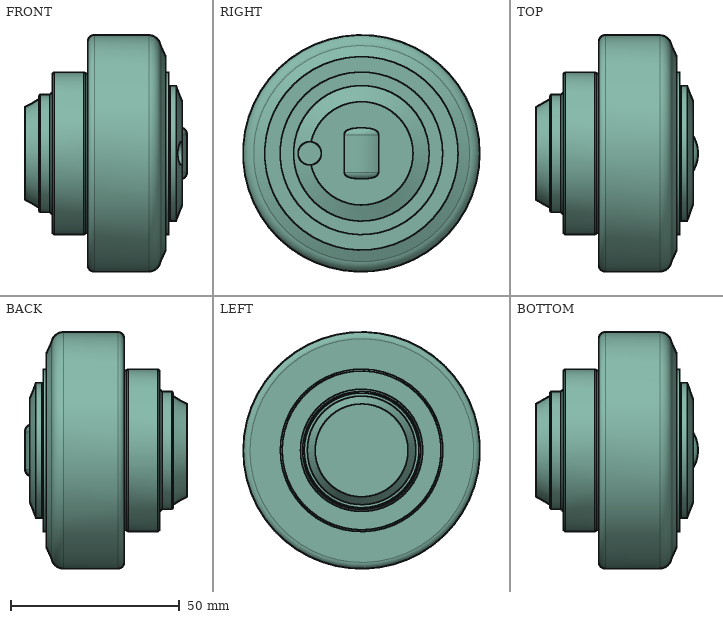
import cadquery as cq
import math

STUB_SHOULDER_X = 4.1
FLANGE_X = 8.05
ROLLER_X = 18.6
ROLLER_ROUND_END_X = 36.6
ROLLER_TAPER_X = 40.2
ROLLER_BACK_X = 41.7
INNER_RING_BACK_X = 42.6
CAP_TAPER_X = 44.7
CAP_FACE_X = 46.6
OVERALL_LENGTH = 48.0

STUB_TIP_RADIUS = 13.75
STUB_CONE_RADIUS = 16.05
STUB_RADIUS = 17.45
FLARE_RADIUS = 18.1
FLANGE_RADIUS = 24.05
ROLLER_RADIUS = 35.05
ROLLER_TAPER_RADIUS = 32.0
ROLLER_BACK_RADIUS = 28.6
CAP_RADIUS = 20.05
CAP_FACE_RADIUS = 15.3

STUB_CHAMFER = 0.5
FLANGE_CHAMFER = 0.55
RELIEF_WIDTH = 0.55
RELIEF_DEPTH = 0.35
CAP_CHAMFER = 0.35
FRONT_ROUND = 1.95
BACK_ROUND_BULGE = 0.85
STUB_FLARE = FLARE_RADIUS - STUB_RADIUS

AXIAL_ROLLER_RADIUS = 9.9
AXIAL_ROLLER_WIDTH = 15.35
AXIAL_ROLLER_ROUND = 2.1

HOLE_RADIUS = 3.4
HOLE_OFFSET = CAP_FACE_RADIUS
HOLE_DEPTH = 3.5


def make_body():
    """Stub, flange, roller and cap as one turned solid about X."""
    diagonal = math.sqrt(0.5)
    relief_radius = FLANGE_RADIUS - RELIEF_DEPTH
    front_mid = (
        ROLLER_X + FRONT_ROUND * (1 - diagonal),
        ROLLER_RADIUS - FRONT_ROUND * (1 - diagonal),
    )
    chord_x = ROLLER_TAPER_X - ROLLER_ROUND_END_X
    chord_drop = ROLLER_RADIUS - ROLLER_TAPER_RADIUS
    chord = math.hypot(chord_x, chord_drop)
    back_mid = (
        (ROLLER_ROUND_END_X + ROLLER_TAPER_X) / 2 + BACK_ROUND_BULGE * chord_drop / chord,
        (ROLLER_RADIUS + ROLLER_TAPER_RADIUS) / 2 + BACK_ROUND_BULGE * chord_x / chord,
    )
    profile = (
        cq.Workplane("XY")
        .lineTo(0, STUB_TIP_RADIUS)
        .lineTo(STUB_SHOULDER_X, STUB_CONE_RADIUS)
        .lineTo(STUB_SHOULDER_X, STUB_RADIUS - STUB_CHAMFER)
        .lineTo(STUB_SHOULDER_X + STUB_CHAMFER, STUB_RADIUS)
        .lineTo(FLANGE_X - STUB_FLARE, STUB_RADIUS)
        .lineTo(FLANGE_X, FLARE_RADIUS)
        .lineTo(FLANGE_X, FLANGE_RADIUS - FLANGE_CHAMFER)
        .lineTo(FLANGE_X + FLANGE_CHAMFER, FLANGE_RADIUS)
        .lineTo(ROLLER_X - 2 * RELIEF_WIDTH, FLANGE_RADIUS)
        .lineTo(ROLLER_X - RELIEF_WIDTH, relief_radius)
        .lineTo(ROLLER_X, relief_radius)
        .lineTo(ROLLER_X, ROLLER_RADIUS - FRONT_ROUND)
        .threePointArc(front_mid, (ROLLER_X + FRONT_ROUND, ROLLER_RADIUS))
        .lineTo(ROLLER_ROUND_END_X, ROLLER_RADIUS)
        .threePointArc(back_mid, (ROLLER_TAPER_X, ROLLER_TAPER_RADIUS))
        .lineTo(ROLLER_BACK_X, ROLLER_BACK_RADIUS)
        .lineTo(ROLLER_BACK_X, FLANGE_RADIUS)
        .lineTo(INNER_RING_BACK_X, FLANGE_RADIUS)
        .lineTo(INNER_RING_BACK_X, CAP_RADIUS - CAP_CHAMFER)
        .lineTo(INNER_RING_BACK_X + CAP_CHAMFER, CAP_RADIUS)
        .lineTo(CAP_TAPER_X, CAP_RADIUS)
        .lineTo(CAP_FACE_X, CAP_FACE_RADIUS)
        .lineTo(CAP_FACE_X, 0)
        .close()
    )
    return profile.revolve(360, (0, 0, 0), (1, 0, 0))


def make_axial_roller():
    """Rounded roller that stands slightly proud of the cap face."""
    return (
        cq.Workplane("XY")
        .center(OVERALL_LENGTH - AXIAL_ROLLER_RADIUS, 0)
        .circle(AXIAL_ROLLER_RADIUS)
        .extrude(AXIAL_ROLLER_WIDTH / 2, both=True)
        .edges()
        .fillet(AXIAL_ROLLER_ROUND)
    )


def make_cap_hole():
    """Cutter for the round blind hole at the rim of the cap face."""
    return (
        cq.Workplane("YZ", origin=(CAP_FACE_X, -HOLE_OFFSET, 0))
        .circle(HOLE_RADIUS)
        .extrude(-HOLE_DEPTH)
    )


result = make_body().union(make_axial_roller()).cut(make_cap_hole())